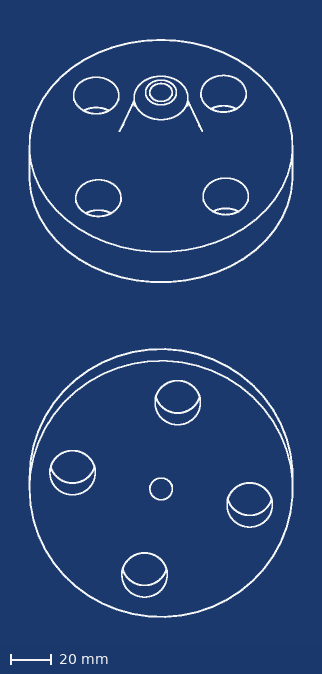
import cadquery as cq

flange_diameter = 130.0
flange_thickness = 25.4

overall_height = 69.8
hub_base_diameter = 44.6
hub_fillet_radius = 3.0
neck_diameter = 26.7
neck_length = 5.9
bevel_height = 4.5
weld_face_diameter = 15.2
bore_diameter = 11.0

bolt_circle_diameter = 88.9
bolt_hole_diameter = 22.4
bolt_hole_count = 4

bevel_start_z = overall_height - bevel_height
taper_end_z = bevel_start_z - neck_length


def flange_with_neck():
    """Revolve the disc, tapered hub, straight neck and weld bevel about Z."""
    profile = (
        cq.Workplane("XZ")
        .lineTo(flange_diameter / 2, 0)
        .lineTo(flange_diameter / 2, flange_thickness)
        .lineTo(hub_base_diameter / 2, flange_thickness)
        .lineTo(neck_diameter / 2, taper_end_z)
        .lineTo(neck_diameter / 2, bevel_start_z)
        .lineTo(weld_face_diameter / 2, overall_height)
        .lineTo(0, overall_height)
        .close()
    )
    return profile.revolve(360, (0, 0, 0), (0, 1, 0))


def round_hub_base(body):
    """Fillet the inside corner where the tapered hub meets the disc."""
    half_size = hub_base_diameter / 2 + hub_fillet_radius
    corner_region = cq.selectors.BoxSelector(
        (-half_size, -half_size, flange_thickness - hub_fillet_radius),
        (half_size, half_size, flange_thickness + hub_fillet_radius),
        boundingbox=True,
    )
    return body.edges("%CIRCLE").edges(corner_region).fillet(hub_fillet_radius)


def through_bore():
    return cq.Workplane("XY").circle(bore_diameter / 2).extrude(overall_height)


def bolt_holes():
    return (
        cq.Workplane("XY")
        .polarArray(bolt_circle_diameter / 2, 0, 360, bolt_hole_count)
        .circle(bolt_hole_diameter / 2)
        .extrude(flange_thickness)
    )


result = round_hub_base(flange_with_neck()).cut(through_bore()).cut(bolt_holes())